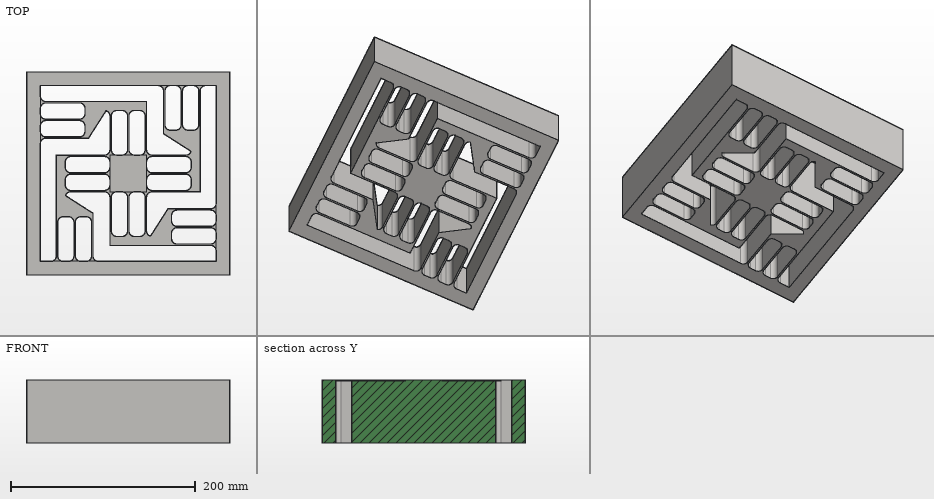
import cadquery as cq
import math

frame_size = 220.0
frame_wall = 15.0
height = 68.5

platform_size = 40.0

arm_count = 4
arm_recess = 1.0
bar_thickness = 10.0
blade_length = 48.0
blade_thickness = 1.8
root_radius = 5.5
heel_width = 4.0
tip_width = 4.0

arm_height = height - arm_recess
cavity_half = frame_size / 2 - frame_wall
platform_half = platform_size / 2
bar_inner = platform_half + blade_length
bar_outer = bar_inner + bar_thickness
group_inner = bar_outer - platform_size
heel_inner = -cavity_half + blade_length
heel_outer = heel_inner + heel_width
slot_width = (platform_size - 3 * blade_thickness) / 2
slot_offset = (slot_width + blade_thickness) / 2

LEFT = (-1, 0)
RIGHT = (1, 0)
UP = (0, 1)
DOWN = (0, -1)


def frame():
    """Square frame around the open cavity."""
    outline = cq.Workplane("XY").rect(frame_size, frame_size)
    return outline.rect(2 * cavity_half, 2 * cavity_half).extrude(height)


def platform():
    """Square block in the middle of the cavity."""
    return cq.Workplane("XY").rect(platform_size, platform_size).extrude(height)


def root_arc(path, corner, start_direction, end_direction):
    """Add the arc that rounds a blade root; the directions point from its corner to the arc ends."""
    corner_x, corner_y = corner
    diagonal_x = start_direction[0] + end_direction[0]
    diagonal_y = start_direction[1] + end_direction[1]
    middle_reach = root_radius * (1 - math.sqrt(0.5))
    middle = (corner_x + middle_reach * diagonal_x, corner_y + middle_reach * diagonal_y)
    end = (corner_x + root_radius * end_direction[0], corner_y + root_radius * end_direction[1])
    return path.threePointArc(middle, end)


def notch_tip_arc(path):
    """Add the blade root arc at the narrow end of the notch, cut short where the slope meets it."""
    center_x = -platform_half - root_radius
    center_y = bar_inner - root_radius
    tip_angle = math.acos((root_radius - tip_width) / root_radius)

    def point_on_arc(angle):
        return (center_x + root_radius * math.cos(angle), center_y + root_radius * math.sin(angle))

    return path.threePointArc(point_on_arc(tip_angle / 2), point_on_arc(tip_angle))


def arm_blank():
    """Arm outline without slots, from the -X wall of the frame to the +Y face of the platform."""
    path = cq.Workplane("XY").moveTo(-cavity_half, bar_outer + root_radius)
    path = root_arc(path, (-cavity_half, bar_outer), UP, RIGHT)
    path = path.lineTo(platform_half, bar_outer)
    path = path.lineTo(platform_half, platform_half)
    path = path.lineTo(-platform_half - root_radius, platform_half)
    path = root_arc(path, (-platform_half, platform_half), LEFT, UP)
    path = path.lineTo(-platform_half, bar_inner - root_radius)
    path = notch_tip_arc(path)
    path = path.lineTo(heel_outer, group_inner)
    path = path.lineTo(-cavity_half + root_radius, group_inner)
    path = root_arc(path, (-cavity_half, group_inner), RIGHT, DOWN)
    return path.close().extrude(arm_height)


def slot(center_x, center_y, size_x, size_y):
    """Through slot with rounded corners that separates two neighbouring blades."""
    block = cq.Workplane("XY").center(center_x, center_y).rect(size_x, size_y).extrude(arm_height)
    return block.edges("|Z").fillet(root_radius)


def arm():
    """Crooked arm with three blades at each end."""
    body = arm_blank()
    frame_slot_x = (heel_inner - cavity_half) / 2
    frame_group_y = (group_inner + bar_outer) / 2
    platform_slot_y = (platform_half + bar_inner) / 2
    for offset in (-slot_offset, slot_offset):
        body = body.cut(slot(frame_slot_x, frame_group_y + offset, blade_length, slot_width))
        body = body.cut(slot(offset, platform_slot_y, slot_width, blade_length))
    return body


result = frame().union(platform())
one_arm = arm()
for index in range(arm_count):
    turn = index * 360.0 / arm_count
    result = result.union(one_arm.rotate((0, 0, 0), (0, 0, 1), turn))